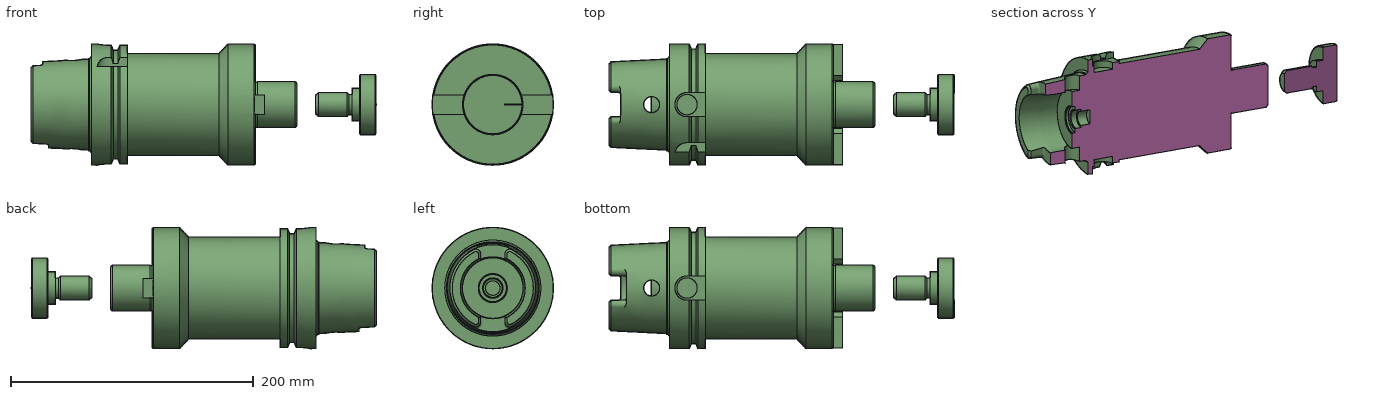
import cadquery as cq

TOTAL_LENGTH = 285.0
TAPER_END = 47.3
SHOULDER_END = 48.5
FLANGE_START = 50.0
FLANGE_END = 79.5
BODY_END = 155.0
COLLAR_START = 162.5
COLLAR_END = 185.0
UNDERCUT_END = 186.7
PILOT_END = 219.5

FLANGE_DIAMETER = 100.0
FLANGE_RADIUS = FLANGE_DIAMETER / 2
TAPER_LARGE_DIAMETER = 75.2
TAPER_RATIO = 0.1
SHOULDER_DIAMETER = 76.5
ROOT_DIAMETER = 79.2
BODY_DIAMETER = 84.5
PILOT_DIAMETER = 38.2
UNDERCUT_DIAMETER = 37.5
PILOT_CHAMFER = 1.7
COLLAR_CHAMFER = 0.9
TAPER_SMALL_DIAMETER = TAPER_LARGE_DIAMETER - TAPER_RATIO * TAPER_END
TAPER_SMALL_RADIUS = TAPER_SMALL_DIAMETER / 2

GROOVE_CENTRE = 69.8
GROOVE_TOP_WIDTH = 7.0
GROOVE_FLOOR_WIDTH = 3.7
GROOVE_DEPTH = 4.0

BORE_DIAMETER = 50.0
BORE_DEPTH = 34.8
BORE_MOUTH_DIAMETER = 53.5
BORE_MOUTH_DEPTH = 18.0
SEAT_DIAMETER = 24.0
SEAT_DEPTH = 2.8
SEAT_CHAMFER = 0.7
SEAT_THREAD_DIAMETER = 16.8
SEAT_THREAD_DEPTH = 5.7
COOLANT_DIAMETER = 12.0
COOLANT_DEPTH = 8.5

DRIVE_SLOT_WIDTH = 20.0
UPPER_SLOT_DEPTH = 9.7
LOWER_SLOT_DEPTH = 14.5
SLOT_LIP_RADIUS = 4.0
RIM_CHAMFER = 1.85
SLOT_CORNER_RADIUS = 1.7
TOLERANCE = 0.003

ACCESS_HOLE_DIAMETER = 13.0
ACCESS_HOLE_X = 35.3

KEYWAY_WIDTH = 20.0
KEYWAY_CENTRE_X = 64.5
KEYWAY_FLOOR = 44.0
KEYWAY_HOLE_DIAMETER = 16.8
KEYWAY_HOLE_DEPTH = 5.7
NOTCH_EDGE = 31.4
NOTCH_CENTRE_X = 64.5
NOTCH_RADIUS = 10.0

TENON_WIDTH = 16.0
TENON_END = 192.7
TENON_TIP = 19.7
TENON_SHOULDER = 24.0
TENON_OUTER = 49.5

SCREW_START = 234.5
THREAD_DIAMETER = 20.0
THREAD_CHAMFER = 2.5
THREAD_TIP_DIAMETER = 15.5
THREAD_END = 260.5
NECK_START = 262.2
NECK_END = 264.8
NECK_DIAMETER = 16.8
WASHER_DIAMETER = 27.0
HEAD_START = 271.0
HEAD_DIAMETER = 50.0
HEAD_CHAMFER = 0.9
MARK_HEIGHT = 0.5
MARK_WIDTH = 0.9
MARK_INNER = 9.7
MARK_OUTER = 24.2
HEAD_END = TOTAL_LENGTH - MARK_HEIGHT


def revolve_profile(points):
    """Turn a closed (x, radius) outline about the X axis."""
    return cq.Workplane("XY").polyline(points).close().revolve(360, (0, 0, 0), (1, 0, 0))


def axial_cylinder(diameter, start, end):
    return cq.Workplane("YZ", origin=(start, 0, 0)).circle(diameter / 2).extrude(end - start)


def turned_holder():
    """Outside of the holder before any milling."""
    body_radius = BODY_DIAMETER / 2
    pilot_radius = PILOT_DIAMETER / 2
    undercut_radius = UNDERCUT_DIAMETER / 2
    groove_floor = FLANGE_RADIUS - GROOVE_DEPTH
    return revolve_profile([
        (0, 0),
        (0, TAPER_SMALL_RADIUS),
        (TAPER_END, TAPER_LARGE_DIAMETER / 2),
        (TAPER_END, SHOULDER_DIAMETER / 2),
        (SHOULDER_END, SHOULDER_DIAMETER / 2),
        (FLANGE_START, ROOT_DIAMETER / 2),
        (FLANGE_START, FLANGE_RADIUS),
        (GROOVE_CENTRE - GROOVE_TOP_WIDTH / 2, FLANGE_RADIUS),
        (GROOVE_CENTRE - GROOVE_FLOOR_WIDTH / 2, groove_floor),
        (GROOVE_CENTRE + GROOVE_FLOOR_WIDTH / 2, groove_floor),
        (GROOVE_CENTRE + GROOVE_TOP_WIDTH / 2, FLANGE_RADIUS),
        (FLANGE_END, FLANGE_RADIUS),
        (FLANGE_END, body_radius),
        (BODY_END, body_radius),
        (COLLAR_START, FLANGE_RADIUS),
        (COLLAR_END - COLLAR_CHAMFER, FLANGE_RADIUS),
        (COLLAR_END, FLANGE_RADIUS - COLLAR_CHAMFER),
        (COLLAR_END, undercut_radius),
        (UNDERCUT_END, undercut_radius),
        (UNDERCUT_END, pilot_radius),
        (PILOT_END - PILOT_CHAMFER, pilot_radius),
        (PILOT_END, pilot_radius - PILOT_CHAMFER),
        (PILOT_END, 0),
    ])


def drive_slot(depth):
    """Slot through the +Z wall of the taper at its open end."""
    return cq.Workplane("XY").rect(2 * depth, DRIVE_SLOT_WIDTH).extrude(FLANGE_RADIUS)


def is_slot_lip(edge):
    """True for the four edges where the drive slot walls run out into the taper surface."""
    middle = edge.Center()
    on_wall = abs(abs(middle.y) - DRIVE_SLOT_WIDTH / 2) < TOLERANCE
    outside = abs(middle.z) > TAPER_SMALL_RADIUS - SLOT_LIP_RADIUS
    return on_wall and outside and middle.x < LOWER_SLOT_DEPTH - TOLERANCE


def is_slot_corner(edge):
    """True for the four straight edges where the drive slot walls meet the slot floors."""
    middle = edge.Center()
    on_wall = abs(abs(middle.y) - DRIVE_SLOT_WIDTH / 2) < TOLERANCE
    on_floor = min(abs(middle.x - UPPER_SLOT_DEPTH), abs(middle.x - LOWER_SLOT_DEPTH)) < TOLERANCE
    return edge.geomType() == "LINE" and on_wall and on_floor


def clamping_bore():
    """Bore with a tapered mouth and a stepped coolant seat in its floor."""
    bore_radius = BORE_DIAMETER / 2
    seat_radius = SEAT_DIAMETER / 2
    thread_radius = SEAT_THREAD_DIAMETER / 2
    coolant_radius = COOLANT_DIAMETER / 2
    seat_floor = BORE_DEPTH + SEAT_DEPTH
    thread_floor = seat_floor + SEAT_THREAD_DEPTH
    return revolve_profile([
        (0, 0),
        (0, BORE_MOUTH_DIAMETER / 2),
        (BORE_MOUTH_DEPTH, bore_radius),
        (BORE_DEPTH, bore_radius),
        (BORE_DEPTH, seat_radius),
        (BORE_DEPTH + SEAT_CHAMFER, seat_radius - SEAT_CHAMFER),
        (seat_floor, seat_radius - SEAT_CHAMFER),
        (seat_floor, thread_radius),
        (seat_floor + SEAT_CHAMFER, thread_radius - SEAT_CHAMFER),
        (thread_floor, thread_radius - SEAT_CHAMFER),
        (thread_floor, coolant_radius),
        (thread_floor + COOLANT_DEPTH, coolant_radius),
        (thread_floor + COOLANT_DEPTH, 0),
    ])


def access_holes():
    """Two opposite radial holes that stop at the wall of the clamping bore."""
    drill = (
        cq.Workplane("XY", origin=(ACCESS_HOLE_X, 0, -FLANGE_RADIUS))
        .circle(ACCESS_HOLE_DIAMETER / 2)
        .extrude(FLANGE_DIAMETER)
    )
    return drill.cut(axial_cylinder(BORE_DIAMETER, 0, FLANGE_END))


def keyway():
    """Round-ended keyway in the +Z side of the flange, with a blind hole in its floor."""
    height = FLANGE_RADIUS - KEYWAY_FLOOR
    length = FLANGE_END - KEYWAY_CENTRE_X
    floor = cq.Workplane("XY", origin=(KEYWAY_CENTRE_X, 0, KEYWAY_FLOOR))
    round_end = floor.circle(KEYWAY_WIDTH / 2).extrude(height)
    channel = floor.rect(2 * length, KEYWAY_WIDTH).extrude(height)
    channel = channel.intersect(axial_cylinder(2 * FLANGE_DIAMETER, KEYWAY_CENTRE_X, FLANGE_END))
    hole = floor.circle(KEYWAY_HOLE_DIAMETER / 2).extrude(-KEYWAY_HOLE_DEPTH)
    return round_end.union(channel).union(hole)


def orientation_notch():
    """Corner cut at the -Y, +Z side of the flange, its closed end left round by the cutter."""
    return (
        cq.Workplane("XY", origin=(0, 0, NOTCH_EDGE))
        .moveTo(FLANGE_END, -NOTCH_EDGE)
        .lineTo(NOTCH_CENTRE_X, -NOTCH_EDGE)
        .radiusArc((NOTCH_CENTRE_X - NOTCH_RADIUS, -NOTCH_EDGE - NOTCH_RADIUS), -NOTCH_RADIUS)
        .lineTo(NOTCH_CENTRE_X - NOTCH_RADIUS, -FLANGE_RADIUS)
        .lineTo(FLANGE_END, -FLANGE_RADIUS)
        .close()
        .extrude(FLANGE_RADIUS - NOTCH_EDGE)
    )


def tenon():
    """Drive tenon on the +Y side of the collar face, its inner end bevelled to a narrow tip."""
    half_width = TENON_WIDTH / 2
    tip_half_width = half_width - (TENON_SHOULDER - TENON_TIP)
    return (
        cq.Workplane("YZ", origin=(COLLAR_END - COLLAR_CHAMFER, 0, 0))
        .polyline([
            (TENON_TIP, -tip_half_width),
            (TENON_SHOULDER, -half_width),
            (TENON_OUTER, -half_width),
            (TENON_OUTER, half_width),
            (TENON_SHOULDER, half_width),
            (TENON_TIP, tip_half_width),
        ])
        .close()
        .extrude(TENON_END - COLLAR_END + COLLAR_CHAMFER)
    )


def make_holder():
    half_turn = ((0, 0, 0), (1, 0, 0), 180)
    holder = turned_holder().cut(drive_slot(UPPER_SLOT_DEPTH))
    holder = holder.cut(drive_slot(LOWER_SLOT_DEPTH).rotate(*half_turn))
    holder = holder.edges().filter(is_slot_lip).fillet(SLOT_LIP_RADIUS)
    holder = holder.edges().filter(is_slot_corner).fillet(SLOT_CORNER_RADIUS)
    holder = holder.faces("<X").edges().chamfer(RIM_CHAMFER)
    holder = holder.cut(clamping_bore()).cut(access_holes())
    holder = holder.cut(keyway()).cut(keyway().rotate(*half_turn))
    holder = holder.cut(orientation_notch())
    return holder.union(tenon()).union(tenon().rotate(*half_turn))


def make_screw():
    """Retaining screw with a raised radial mark on its head."""
    thread_radius = THREAD_DIAMETER / 2
    neck_radius = NECK_DIAMETER / 2
    washer_radius = WASHER_DIAMETER / 2
    head_radius = HEAD_DIAMETER / 2
    screw = revolve_profile([
        (SCREW_START, 0),
        (SCREW_START, THREAD_TIP_DIAMETER / 2),
        (SCREW_START + THREAD_CHAMFER, thread_radius),
        (THREAD_END, thread_radius),
        (NECK_START, neck_radius),
        (NECK_END, neck_radius),
        (NECK_END, washer_radius),
        (HEAD_START, washer_radius),
        (HEAD_START, head_radius - HEAD_CHAMFER),
        (HEAD_START + HEAD_CHAMFER, head_radius),
        (HEAD_END - HEAD_CHAMFER, head_radius),
        (HEAD_END, head_radius - HEAD_CHAMFER),
        (HEAD_END, 0),
    ])
    mark = (
        cq.Workplane("YZ", origin=(HEAD_END, (MARK_INNER + MARK_OUTER) / 2, 0))
        .rect(MARK_OUTER - MARK_INNER, MARK_WIDTH)
        .extrude(MARK_HEIGHT)
    )
    return screw.union(mark)


holder = make_holder()
screw = make_screw()
result = cq.Compound.makeCompound([holder.val(), screw.val()])